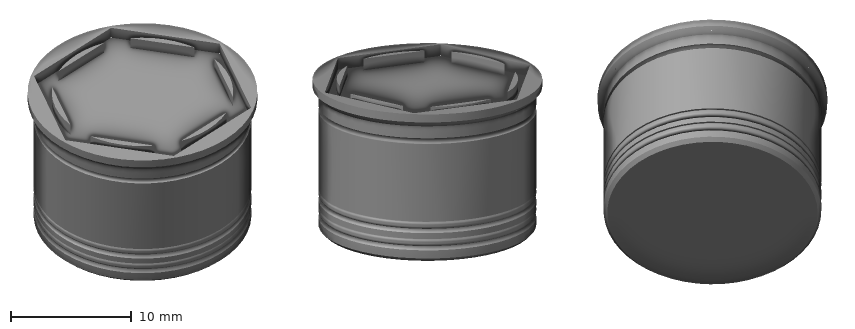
import cadquery as cq
import math

height = 13.0
flange_radius = 9.5
barrel_radius = 9.0
flange_rim_height = 0.7
foot_chamfer = 0.3

round_groove_radius = 0.25
round_groove_depth = 0.3
round_groove_z = height - 2.49

ring_height = 0.68
ring_thickness = 0.7
ring_edge_radius = 0.27
groove_lead_in = 0.3
ring_base_levels = [1.31, 2.81]

hex_across_flats = 16.0
recess_depth = 1.0
segment_outer_radius = 7.5
segment_flat_distance = 7.0
segment_count = 6


def make_blank():
    """Flanged cylinder with a conical flange underside and a chamfered foot."""
    flange_underside_z = height - flange_rim_height
    neck_z = flange_underside_z - (flange_radius - barrel_radius)
    profile = [
        (0, 0),
        (barrel_radius - foot_chamfer, 0),
        (barrel_radius, foot_chamfer),
        (barrel_radius, neck_z),
        (flange_radius, flange_underside_z),
        (flange_radius, height),
        (0, height),
    ]
    return cq.Workplane("XZ").polyline(profile).close().revolve(360, (0, 0), (0, 1))


def make_round_groove():
    """Cutter for the round-bottomed groove, its floor made of two quarter arcs."""
    radius = round_groove_radius
    floor_radius = barrel_radius - round_groove_depth
    arc_start = floor_radius + radius
    upper_z = round_groove_z + radius
    lower_z = round_groove_z - radius
    inset = radius * (1 - math.sqrt(0.5))
    rise = radius * math.sqrt(0.5)
    return (
        cq.Workplane("XZ")
        .moveTo(barrel_radius, lower_z)
        .lineTo(arc_start, lower_z)
        .threePointArc((floor_radius + inset, round_groove_z - rise), (floor_radius, round_groove_z))
        .threePointArc((floor_radius + inset, round_groove_z + rise), (arc_start, upper_z))
        .lineTo(barrel_radius, upper_z)
        .close()
        .revolve(360, (0, 0), (0, 1))
    )


def make_ring_groove(base_z):
    """Cutter for a square groove whose lower edge flares out to the barrel."""
    floor_radius = barrel_radius - ring_thickness
    profile = [
        (floor_radius, base_z),
        (barrel_radius - groove_lead_in, base_z),
        (barrel_radius, base_z - groove_lead_in),
        (barrel_radius, base_z + ring_height),
        (floor_radius, base_z + ring_height),
    ]
    return cq.Workplane("XZ").polyline(profile).close().revolve(360, (0, 0), (0, 1))


def make_hex_recess():
    """Cutter for the hexagonal recess, with corners on the Y axis."""
    corner_diameter = hex_across_flats / math.cos(math.pi / 6)
    return (
        cq.Workplane("XY", origin=(0, 0, height - recess_depth))
        .transformed(rotate=(0, 0, 90))
        .polygon(6, corner_diameter)
        .extrude(recess_depth)
    )


def make_segment(angle):
    """Circular segment standing on the recess floor, its arc facing outward."""
    half_chord = math.sqrt(segment_outer_radius**2 - segment_flat_distance**2)
    return (
        cq.Workplane("XY", origin=(0, 0, height - recess_depth))
        .moveTo(segment_flat_distance, -half_chord)
        .threePointArc((segment_outer_radius, 0), (segment_flat_distance, half_chord))
        .close()
        .extrude(recess_depth)
        .rotate((0, 0, 0), (0, 0, 1), angle)
    )


def make_plug():
    """Complete plug, with the recess, segments and all grooves."""
    plug = make_blank().cut(make_round_groove()).cut(make_hex_recess())
    for base_z in ring_base_levels:
        plug = plug.cut(make_ring_groove(base_z))
    for index in range(segment_count):
        plug = plug.union(make_segment(index * 360 / segment_count))
    return plug


def make_seal_ring(base_z):
    """Seal ring that fills its groove, with rounded outer edges."""
    return (
        cq.Workplane("XY", origin=(0, 0, base_z))
        .circle(barrel_radius)
        .extrude(ring_height)
        .edges("%CIRCLE")
        .fillet(ring_edge_radius)
        .cut(
            cq.Workplane("XY", origin=(0, 0, base_z))
            .circle(barrel_radius - ring_thickness)
            .extrude(ring_height)
        )
    )


plug = make_plug()
seal_rings = [make_seal_ring(base_z) for base_z in ring_base_levels]

result = cq.Compound.makeCompound([plug.solids().val(), *[ring.solids().val() for ring in seal_rings]])